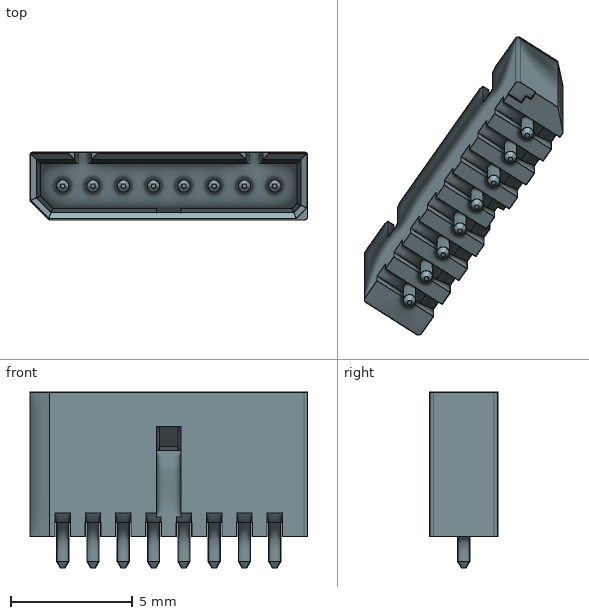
import cadquery as cq
import math

LENGTH = 11.45
WIDTH = 2.8
HEIGHT = 5.95
KEY_CORNER = 0.8
CORNER_RADIUS = 0.15

LEFT = -LENGTH / 2
RIGHT = LENGTH / 2
FRONT = -WIDTH / 2
BACK = WIDTH / 2

END_WALL = 0.27
SIDE_WALL = 0.31
FLOOR_Z = 3.55
CAVITY_CORNER = 0.3
FLOOR_CHAMFER = 0.17
MOUTH_CHAMFER = 0.24
RIM_MARGIN = 0.01

OPENING_WIDTH = 0.7
OPENING_FILLET = 0.15
OPENING_X = 3.53

LATCH_WIDTH = 1.01
LATCH_TOP_Z = 4.53

PIN_COUNT = 8
PIN_PITCH = 1.25
PIN_DIAMETER = 0.5
PIN_TIP_DIAMETER = 0.18
PIN_TIP_LENGTH = 0.27
PIN_BOTTOM_Z = -1.29
PIN_TOP_Z = 5.32
PIN_X = [(i - (PIN_COUNT - 1) / 2) * PIN_PITCH for i in range(PIN_COUNT)]

SLOT_WIDTH = 0.63
SLOT_HEIGHT = 0.58
SLOT_FRONT_HEIGHT = 0.97
SLOT_SLOPE_RUN = 0.69

RELIEF_HEIGHT = 0.14
RELIEF_WIDTH = 0.9
RELIEF_DEPTH = 0.34
RELIEF_INNER_WIDTH = 0.66
RELIEF_INNER_DEPTH = 0.69


def box(x0, x1, y0, y1, z0, z1):
    """Box between two opposite corners."""
    return cq.Workplane("XY").box(x1 - x0, y1 - y0, z1 - z0, centered=False).translate((x0, y0, z0))


def make_outer_block():
    block = (
        cq.Workplane("XY")
        .moveTo(LEFT, BACK)
        .lineTo(RIGHT, BACK)
        .lineTo(RIGHT, FRONT)
        .lineTo(LEFT + KEY_CORNER, FRONT)
        .lineTo(LEFT, FRONT + KEY_CORNER)
        .close()
        .extrude(HEIGHT)
    )
    rounded = block.edges("|Z and >X").fillet(CORNER_RADIUS)
    return rounded.edges("|Z and <X and >Y").fillet(CORNER_RADIUS)


def make_cavity():
    """Space inside the walls and back openings, with the edges along the floor eased."""
    left = LEFT + END_WALL
    right = RIGHT - END_WALL
    front = FRONT + SIDE_WALL
    back = BACK - SIDE_WALL
    key_corner = KEY_CORNER + END_WALL * math.sqrt(2) - END_WALL - SIDE_WALL
    depth = HEIGHT - FLOOR_Z
    cavity = (
        cq.Workplane("XY", origin=(0, 0, FLOOR_Z))
        .moveTo(left, back)
        .lineTo(right, back)
        .lineTo(right, front + CAVITY_CORNER)
        .lineTo(right - CAVITY_CORNER, front)
        .lineTo(left + key_corner, front)
        .lineTo(left, front + key_corner)
        .close()
        .extrude(depth)
        .faces("<Z")
        .chamfer(FLOOR_CHAMFER)
    )
    for x in (-OPENING_X, OPENING_X):
        opening = box(x - OPENING_WIDTH / 2, x + OPENING_WIDTH / 2, 0, BACK, FLOOR_Z, HEIGHT)
        cavity = cavity.union(opening.edges("|Y and <Z").fillet(OPENING_FILLET))
    return cavity


def make_shell():
    """Outer block hollowed by the cavity, with the cavity mouth bevelled."""
    blank = box(LEFT, RIGHT, FRONT, BACK, 0, HEIGHT).cut(make_cavity())
    inside_rim = cq.selectors.BoxSelector(
        (LEFT + RIM_MARGIN, FRONT + RIM_MARGIN, HEIGHT - RIM_MARGIN),
        (RIGHT - RIM_MARGIN, BACK - RIM_MARGIN, HEIGHT + RIM_MARGIN),
    )
    bevelled = blank.edges(inside_rim).chamfer(MOUTH_CHAMFER)
    return bevelled.intersect(make_outer_block())


def make_pin_slot(x):
    profile = (
        cq.Workplane("YZ", origin=(x - SLOT_WIDTH / 2, 0, 0))
        .moveTo(FRONT, 0)
        .lineTo(FRONT, SLOT_FRONT_HEIGHT)
        .lineTo(FRONT + SLOT_SLOPE_RUN, SLOT_HEIGHT)
        .lineTo(BACK, SLOT_HEIGHT)
        .lineTo(BACK, 0)
        .close()
    )
    return profile.extrude(SLOT_WIDTH)


def make_latch_recess():
    half = LATCH_WIDTH / 2
    recess = box(-half, half, FRONT, FRONT + SIDE_WALL, 0, LATCH_TOP_Z)
    window = box(-half, half, FRONT, FRONT + SIDE_WALL + FLOOR_CHAMFER, FLOOR_Z, LATCH_TOP_Z)
    return recess.union(window)


def make_relief():
    outer = box(LEFT, LEFT + RELIEF_DEPTH, BACK - RELIEF_WIDTH, BACK, 0, RELIEF_HEIGHT)
    inner = box(LEFT, LEFT + RELIEF_INNER_DEPTH, BACK - RELIEF_INNER_WIDTH, BACK, 0, RELIEF_HEIGHT)
    return outer.union(inner)


def make_pin(x):
    """Round pin with a tapered tip at both ends."""
    radius = PIN_DIAMETER / 2
    tip_radius = PIN_TIP_DIAMETER / 2
    return (
        cq.Workplane("XZ", origin=(x, 0, 0))
        .moveTo(0, PIN_BOTTOM_Z)
        .lineTo(tip_radius, PIN_BOTTOM_Z)
        .lineTo(radius, PIN_BOTTOM_Z + PIN_TIP_LENGTH)
        .lineTo(radius, PIN_TOP_Z - PIN_TIP_LENGTH)
        .lineTo(tip_radius, PIN_TOP_Z)
        .lineTo(0, PIN_TOP_Z)
        .close()
        .revolve(360, (0, 0, 0), (0, 1, 0))
    )


def make_housing():
    body = make_shell()
    body = body.cut(make_latch_recess()).cut(make_relief())
    for x in PIN_X:
        body = body.cut(make_pin_slot(x))
    for x in PIN_X:
        body = body.cut(make_pin(x))
    return body


housing = make_housing()
pins = [make_pin(x) for x in PIN_X]
result = cq.Compound.makeCompound([housing.val(), *[pin.val() for pin in pins]])